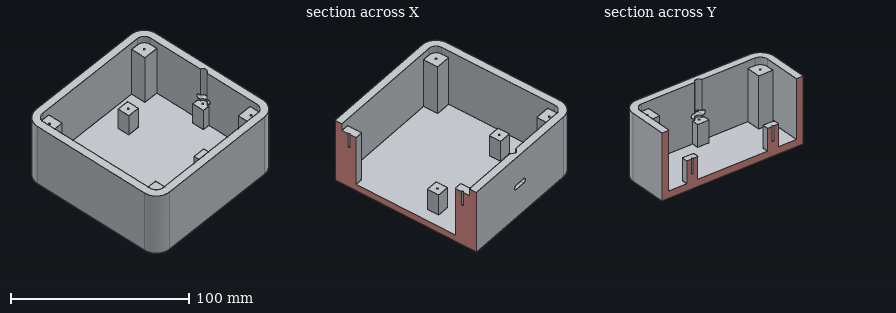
import cadquery as cq

side = 100
height = 45
corner_radius = 10
wall = 5
floor = 5
inner_side = side - 2 * wall
inner_half = inner_side / 2
inner_corner_radius = corner_radius - wall

corner_post_side = 10
corner_post_top = 40
corner_post_offset = inner_half - corner_post_side / 2

board_post_side = 8
board_post_top = 20
board_post_x = 28.5
board_post_y = 13.5
wall_post_inset = 0.6
wall_post_y = inner_half - wall_post_inset

pilot_diameter = 1
pilot_depth = 10
groove_radius = 2.5
slot_width = 10
slot_height = 3.2
slot_rise = 1.3
slot_center_z = board_post_top + slot_rise + slot_height / 2

corner_points = [(x, y) for x in (-corner_post_offset, corner_post_offset)
                 for y in (-corner_post_offset, corner_post_offset)]
board_points = [(-board_post_x, board_post_y), (board_post_x, board_post_y), (0, wall_post_y)]


def rounded_block(width, radius, bottom, top):
    """Square block with rounded vertical edges."""
    block = cq.Workplane("XY").workplane(offset=bottom).rect(width, width).extrude(top - bottom)
    return block.edges("|Z").fillet(radius)


def posts(points, width, top):
    """Square posts rising from the underside of the box floor."""
    return cq.Workplane("XY").pushPoints(points).rect(width, width).extrude(top)


def pilot_holes(points, top):
    """Blind holes drilled down from the post tops."""
    plane = cq.Workplane("XY").workplane(offset=top)
    return plane.pushPoints(points).circle(pilot_diameter / 2).extrude(-pilot_depth)


def screwdriver_groove():
    """Vertical round groove in the back wall above the wall post."""
    plane = cq.Workplane("XY").workplane(offset=board_post_top)
    return plane.center(0, wall_post_y).circle(groove_radius).extrude(height - board_post_top)


def cable_slot():
    """Round-ended slot through the back wall."""
    plane = cq.Workplane("XZ", origin=(0, inner_half, slot_center_z))
    return plane.slot2D(slot_width, slot_height).extrude(-wall)


outer = rounded_block(side, corner_radius, 0, height)
cavity = rounded_block(inner_side, inner_corner_radius, floor, height)

result = (
    outer.cut(cavity)
    .union(posts(corner_points, corner_post_side, corner_post_top).intersect(outer))
    .union(posts(board_points, board_post_side, board_post_top))
    .cut(screwdriver_groove())
    .cut(cable_slot())
    .cut(pilot_holes(corner_points, corner_post_top))
    .cut(pilot_holes(board_points, board_post_top))
)